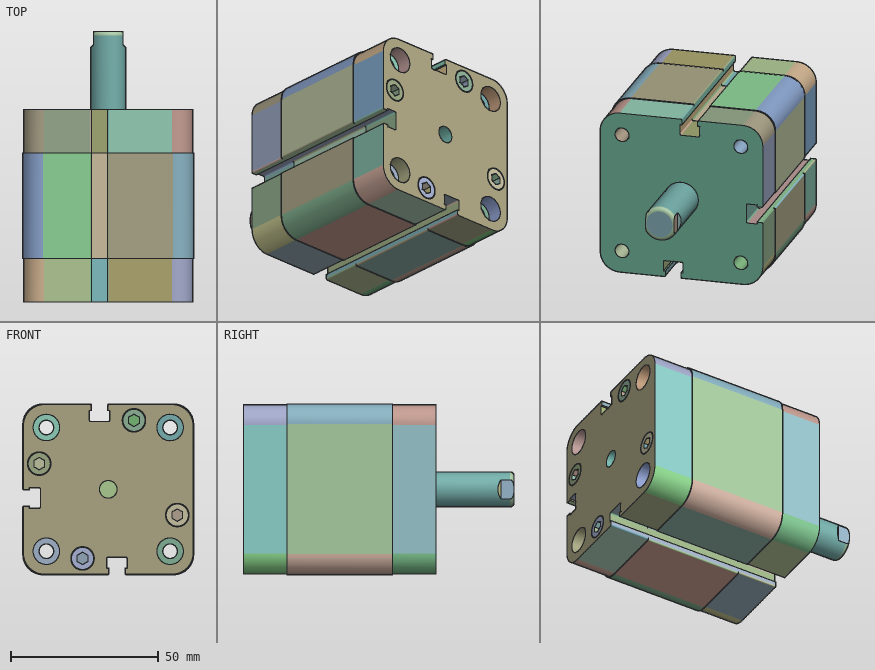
import cadquery as cq
total_length = 92.0
housing_length = 65.5
cap_length = 14.8
rear_face = -total_length / 2
front_face = rear_face + housing_length
rod_tip = total_length / 2

barrel_side = 58.1
cap_inset = 0.3
cap_side = barrel_side - 2 * cap_inset
corner_radius = 7.0

slot_offset = 2.9
slot_mouth_width = 5.5
slot_lip_height = 2.3
slot_inner_width = 6.9
cap_slot_depth = 6.1
barrel_slot_depth = 6.0
slot_edge_radius = 0.5
slot_turns = (0, 90, 180)

mount_spacing = 42.0
mount_hole_diameter = 4.9
mount_counterbore_diameter = 9.0
mount_counterbore_depth = 5.5
centre_hole_diameter = 6.0
centre_hole_depth = 5.5

screw_x = 8.7
screw_z = 23.5
screw_recess_diameter = 8.0
screw_head_diameter = 7.5
screw_head_height = 4.6
socket_across_flats = 3.7
socket_depth = 4.1

rod_diameter = 12.0
rod_tip_radius = 1.4
flat_spacing = 10.0
flat_length = 4.4
flat_ramp_length = 1.1

QUARTER_TURNS = (0, 90, 180, 270)


def plane_at(y):
    """Sketch plane at the given Y: local x is X, local y is Z, extrusion runs towards +Y."""
    return cq.Workplane(cq.Plane(origin=(0, y, 0), xDir=(1, 0, 0), normal=(0, -1, 0)))


def turned(shape, angle):
    """Turn a shape about the cylinder axis, anticlockwise as seen from the rear face."""
    return shape.rotate((0, 0, 0), (0, -1, 0), angle)


def block(y, side, length):
    """Square length of housing with rounded corners."""
    return plane_at(y).rect(side, side).extrude(-length).edges("|Y").fillet(corner_radius)


def bore(y, diameter, depth):
    """Round cutter about the Y axis."""
    return plane_at(y).circle(diameter / 2).extrude(-depth)


def slot_cutter(y, side, length, depth):
    """T-slot in the top side with rounded mouth edges and rounded floor corners."""
    top = side / 2
    lip = barrel_side / 2 - slot_lip_height
    floor = barrel_side / 2 - depth
    mouth = slot_mouth_width / 2
    inner = slot_inner_width / 2
    radius = slot_edge_radius
    flare = mouth + radius
    shoulder = top - radius
    profile = (
        plane_at(y)
        .center(-slot_offset, 0)
        .moveTo(-inner + radius, floor)
        .lineTo(inner - radius, floor)
        .radiusArc((inner, floor + radius), -radius)
        .lineTo(inner, lip)
        .lineTo(mouth, lip)
        .lineTo(mouth, shoulder)
        .radiusArc((flare, top), radius)
        .lineTo(-flare, top)
        .radiusArc((-mouth, shoulder), radius)
        .lineTo(-mouth, lip)
        .lineTo(-inner, lip)
        .lineTo(-inner, floor + radius)
        .radiusArc((-inner + radius, floor), -radius)
        .close()
    )
    return profile.extrude(-length)


def slotted_block(y, side, length, depth):
    """Square length of housing with its T-slots cut along it."""
    body = block(y, side, length)
    for angle in slot_turns:
        body = body.cut(turned(slot_cutter(y, side, length, depth), angle))
    return body


def housing():
    """Barrel between two end caps."""
    barrel_length = housing_length - 2 * cap_length
    rear_cap = slotted_block(rear_face, cap_side, cap_length, cap_slot_depth)
    barrel = slotted_block(rear_face + cap_length, barrel_side, barrel_length, barrel_slot_depth)
    front_cap = slotted_block(front_face - cap_length, cap_side, cap_length, cap_slot_depth)
    return rear_cap.union(barrel).union(front_cap)


def mount_holes():
    """Counterbored through holes in the four corners."""
    hole = bore(rear_face, mount_hole_diameter, housing_length)
    hole = hole.union(bore(rear_face, mount_counterbore_diameter, mount_counterbore_depth))
    hole = hole.translate((mount_spacing / 2, 0, mount_spacing / 2))
    return [turned(hole, angle) for angle in QUARTER_TURNS]


def screw_cutters():
    """Ring gap around each screw head and the hexagon socket inside it."""
    gap = bore(rear_face, screw_recess_diameter, screw_head_height)
    gap = gap.cut(bore(rear_face, screw_head_diameter, screw_head_height))
    socket = plane_at(rear_face).polygon(6, socket_across_flats, circumscribed=True).extrude(-socket_depth)
    cutters = []
    x, z = screw_x, screw_z
    for _ in QUARTER_TURNS:
        cutters.append(gap.translate((x, 0, z)))
        cutters.append(socket.translate((x, 0, z)))
        x, z = -z, x
    return cutters


def rod():
    """Piston rod with a rounded tip and two wrench flats, facing -X and +X, that end in ramps."""
    radius = rod_diameter / 2
    length = rod_tip - front_face
    body = bore(front_face, rod_diameter, length)
    body = body.faces(">Y").edges().fillet(rod_tip_radius)
    half = flat_spacing / 2
    flat_end = rod_tip - flat_length
    flat = (
        cq.Workplane("XY")
        .moveTo(half, rod_tip)
        .lineTo(half, flat_end)
        .lineTo(radius, flat_end - flat_ramp_length)
        .lineTo(radius, rod_tip)
        .close()
        .extrude(radius, both=True)
    )
    return body.cut(flat).cut(turned(flat, 180))


result = housing().union(rod())
for cutter in mount_holes() + screw_cutters():
    result = result.cut(cutter)
result = result.cut(bore(rear_face, centre_hole_diameter, centre_hole_depth))